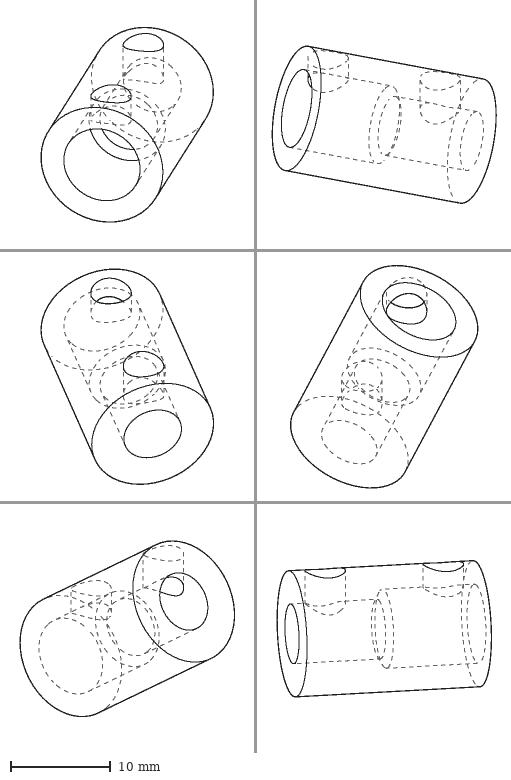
import cadquery as cq
import math

outer_diameter = 12.7
length = 19.05
large_bore_diameter = 7.94
small_bore_diameter = 6.0
large_bore_depth = length / 2
drill_tip_angle = 118.0

screw_hole_diameter = 4.06
screw_hole_spacing = 12.2

front_y = -length / 2
back_y = length / 2
outer_radius = outer_diameter / 2
large_radius = large_bore_diameter / 2
small_radius = small_bore_diameter / 2
cone_length = (large_radius - small_radius) / math.tan(math.radians(drill_tip_angle / 2))
cone_start_y = front_y + large_bore_depth
cone_end_y = cone_start_y + cone_length


def make_sleeve():
    """Revolve the wall section, with its conical step between the two bores."""
    return (
        cq.Workplane("XY")
        .moveTo(outer_radius, front_y)
        .lineTo(outer_radius, back_y)
        .lineTo(small_radius, back_y)
        .lineTo(small_radius, cone_end_y)
        .lineTo(large_radius, cone_start_y)
        .lineTo(large_radius, front_y)
        .close()
        .revolve(360, (0, 0, 0), (0, 1, 0))
    )


def make_screw_hole(y):
    """Vertical cutter from the sleeve axis out through the top wall."""
    return (
        cq.Workplane("XY")
        .center(0, y)
        .circle(screw_hole_diameter / 2)
        .extrude(outer_diameter)
    )


result = make_sleeve()
for hole_y in (-screw_hole_spacing / 2, screw_hole_spacing / 2):
    result = result.cut(make_screw_hole(hole_y))